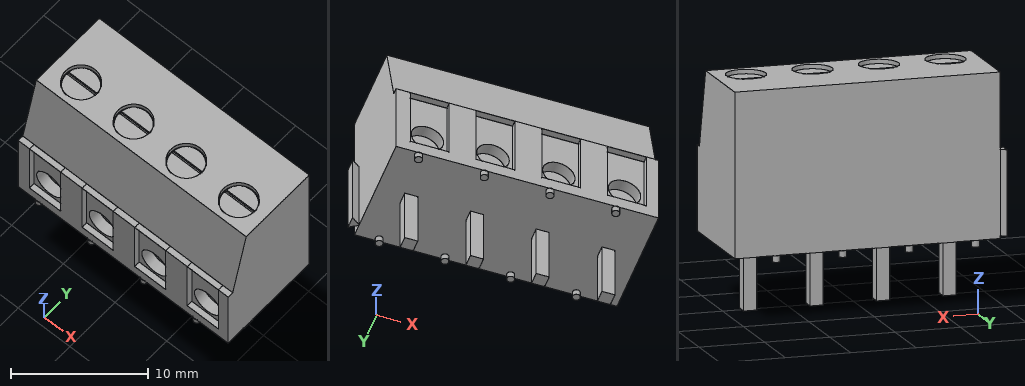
import cadquery as cq


overall_length = 21.02
key_reach = 0.7
housing_length = overall_length - key_reach
housing_depth = 9.0
housing_height = 12.5
ledge_height = 6.5
ledge_depth = 0.5
top_depth = 7.0

pole_count = 4
pole_pitch = 5.09
first_pole_x = 2.6
pole_positions = [first_pole_x + i * pole_pitch for i in range(pole_count)]

pocket_width = 3.0
pocket_floor_z = 1.0
pocket_depth = ledge_depth
pocket_lid = 0.02
wire_hole_diameter = 2.5
wire_hole_z = 2.5
wire_hole_depth = 0.95

screw_y = 4.0
screw_bore_diameter = 2.98
screw_diameter = 2.85
screw_sink = 0.32
screw_gap_depth = 0.1
driver_slot_width = 0.2
driver_slot_depth = 0.2

pin_size = 1.0
pin_length = 5.0

pip_diameter = 0.59
pip_height = 0.5
pip_overhang = 0.053
pip_offset_x = -0.78

key_width = 1.0
key_centre_y = housing_depth - key_width
key_root_overlap = 0.05


def block(x_range, y_range, z_range):
    """Box spanning the given (low, high) ranges."""
    spans = (x_range, y_range, z_range)
    sizes = [high - low for low, high in spans]
    corner = tuple(low for low, high in spans)
    return cq.Workplane("XY").box(*sizes, centered=False).translate(corner)


def centred(middle, size):
    """(low, high) range of the given size about a middle value."""
    return (middle - size / 2, middle + size / 2)


def upright_cylinder(x, y, z_range, diameter):
    bottom, top = z_range
    return cq.Workplane("XY", origin=(x, y, bottom)).circle(diameter / 2).extrude(top - bottom)


def make_housing():
    profile = [
        (0, 0),
        (housing_depth, 0),
        (housing_depth, housing_height),
        (housing_depth - top_depth, housing_height),
        (ledge_depth, ledge_height),
        (0, ledge_height),
    ]
    return cq.Workplane("YZ").polyline(profile).close().extrude(housing_length)


def make_key():
    half_width = key_width / 2
    outline = [
        (key_root_overlap, key_centre_y),
        (-key_reach, key_centre_y + half_width),
        (-key_reach, key_centre_y - half_width),
    ]
    return cq.Workplane("XY").polyline(outline).close().extrude(ledge_height)


def make_wire_entry(x):
    pocket = block(
        centred(x, pocket_width),
        (0, pocket_depth),
        (pocket_floor_z, ledge_height - pocket_lid),
    )
    hole = (
        cq.Workplane("XZ", origin=(x, 0, wire_hole_z))
        .circle(wire_hole_diameter / 2)
        .extrude(-(pocket_depth + wire_hole_depth))
    )
    return pocket.union(hole)


def make_screw_cut(x):
    """Sunken bore, the ring gap around the screw head and its driver slot."""
    head_z = housing_height - screw_sink
    gap_floor_z = head_z - screw_gap_depth
    bore = upright_cylinder(x, screw_y, (gap_floor_z, housing_height), screw_bore_diameter)
    head = upright_cylinder(x, screw_y, (gap_floor_z, head_z), screw_diameter)
    slot = block(
        centred(x, screw_diameter),
        (screw_y, screw_y + driver_slot_width),
        (head_z - driver_slot_depth, head_z),
    )
    return bore.cut(head).union(slot)


def make_pin(x):
    return block(
        centred(x, pin_size),
        centred(housing_depth / 2, pin_size),
        (-pin_length, 0),
    )


def make_pips(x):
    inset = pip_diameter / 2 - pip_overhang
    pip_x = x + pip_offset_x
    front = upright_cylinder(pip_x, inset, (-pip_height, 0), pip_diameter)
    back = upright_cylinder(pip_x, housing_depth - inset, (-pip_height, 0), pip_diameter)
    return front.union(back)


result = make_housing().union(make_key())
for pole_x in pole_positions:
    result = result.cut(make_wire_entry(pole_x))
    result = result.cut(make_screw_cut(pole_x))
    result = result.union(make_pin(pole_x))
    result = result.union(make_pips(pole_x))